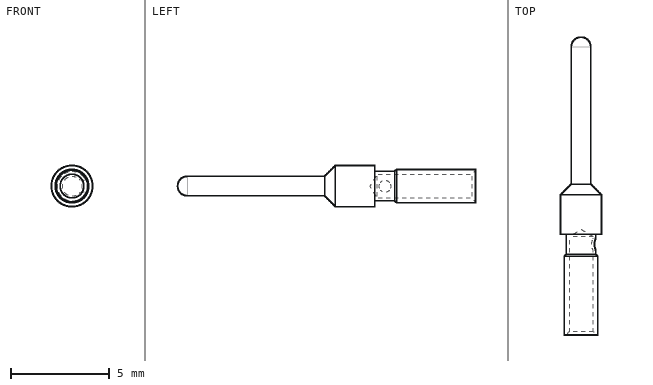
import cadquery as cq
import math


pin_diameter = 1.0
collar_diameter = 2.1
neck_diameter = 1.5
barrel_diameter = 1.7
bore_diameter = 1.2
mouth_diameter = 1.6
sight_hole_diameter = 0.6

overall_length = 15.1
barrel_length = 4.1
neck_length = 1.0
collar_length = 2.0
bore_depth = 5.0

drill_point_angle = 118.0

pin_radius = pin_diameter / 2
collar_radius = collar_diameter / 2
neck_radius = neck_diameter / 2
barrel_radius = barrel_diameter / 2
bore_radius = bore_diameter / 2
mouth_radius = mouth_diameter / 2

mouth_depth = mouth_radius - bore_radius
barrel_chamfer = barrel_radius - neck_radius
collar_start = barrel_length + neck_length
collar_end = collar_start + collar_length
cone_end = collar_end + collar_radius - pin_radius
tip_start = overall_length - pin_radius
drill_point_end = bore_depth + bore_radius / math.tan(math.radians(drill_point_angle / 2))
sight_hole_position = barrel_length + neck_length / 2


def revolve_about_y(profile):
    return profile.close().revolve(360, (0, 0, 0), (0, 1, 0))


def turned_body():
    """Barrel, neck, collar and pin with a hemispherical tip."""
    arc_offset = pin_radius * math.sqrt(0.5)
    arc_middle = (arc_offset, tip_start + arc_offset)
    profile = (
        cq.Workplane("XY")
        .lineTo(barrel_radius, 0)
        .lineTo(barrel_radius, barrel_length - barrel_chamfer)
        .lineTo(neck_radius, barrel_length)
        .lineTo(neck_radius, collar_start)
        .lineTo(collar_radius, collar_start)
        .lineTo(collar_radius, collar_end)
        .lineTo(pin_radius, cone_end)
        .lineTo(pin_radius, tip_start)
        .threePointArc(arc_middle, (0, overall_length))
    )
    return revolve_about_y(profile)


def wire_bore():
    """Blind bore with a flared mouth and a conical drill point."""
    profile = (
        cq.Workplane("XY")
        .lineTo(mouth_radius, 0)
        .lineTo(bore_radius, mouth_depth)
        .lineTo(bore_radius, bore_depth)
        .lineTo(0, drill_point_end)
    )
    return revolve_about_y(profile)


def sight_hole():
    """Radial hole from the axis out through the +X wall of the neck."""
    return (
        cq.Workplane("YZ")
        .center(sight_hole_position, 0)
        .circle(sight_hole_diameter / 2)
        .extrude(collar_radius)
    )


result = turned_body().cut(wire_bore()).cut(sight_hole())